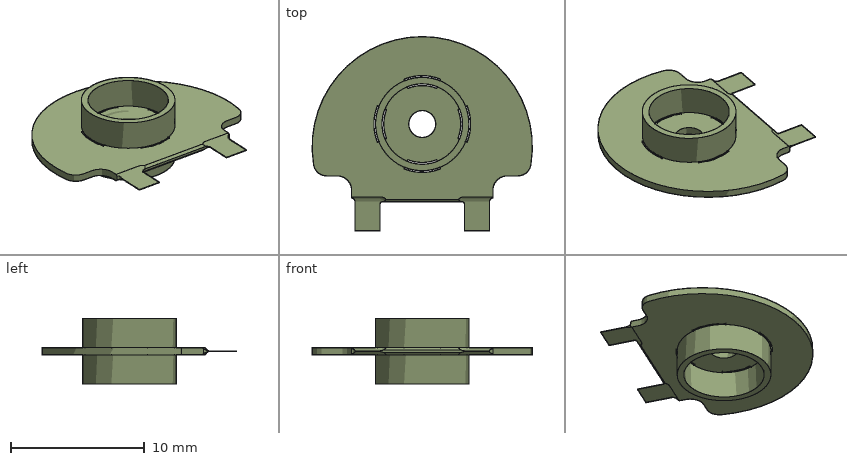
import cadquery as cq
import math

PLATE_RADIUS = 8.24
PLATE_CENTER_Y = -1.7
PLATE_THICKNESS = 0.55
SHOULDER_Y = -3.89
SHOULDER_FILLET = 1.0
NECK_FILLET = 1.05
NECK_HALF_WIDTH = 5.29
NECK_CORNER_Y = -5.53
NECK_EDGE_Y = -5.81
EDGE_CHAMFER = 0.18

TAB_INNER_X = 3.15
TAB_OUTER_X = 5.04
TAB_TIP_Y = -7.99
TAB_THICKNESS = 0.05
TAB_OUTER_FILLET = NECK_HALF_WIDTH - TAB_OUTER_X
TAB_INNER_FILLET = 0.18
RAMP_TOP_Y = -5.44
RAMP_LENGTH = 0.58

BOSS_TOP_RADIUS = 2.01
BOSS_BASE_RADIUS = 2.3
BOSS_HEIGHT = 0.025
HOLE_DIAMETER = 2.0
WINDOW_INNER_RADIUS = 2.88
WINDOW_OUTER_RADIUS = 3.6
WINDOW_ANGLE = 44.0
WINDOW_COUNT = 4

RING_OUTER_DIAMETER = 7.0
RING_INNER_DIAMETER = 6.0
TOTAL_HEIGHT = 4.9

CUT_MARGIN = 0.16

HALF_PLATE = PLATE_THICKNESS / 2
HALF_TAB = TAB_THICKNESS / 2
RAMP_END_Y = RAMP_TOP_Y - RAMP_LENGTH
RING_HEIGHT = TOTAL_HEIGHT / 2 - HALF_PLATE


def make_blank():
    """Full-thickness plate: a truncated disc, a neck and two tabs, with rounded corners."""
    shoulder_x = math.sqrt(PLATE_RADIUS**2 - (SHOULDER_Y - PLATE_CENTER_Y) ** 2)
    outer_fillet_end_y = NECK_CORNER_Y - TAB_OUTER_FILLET
    outer_fillet_mid = TAB_OUTER_FILLET * math.sqrt(0.5)
    blank = (
        cq.Workplane("XY", origin=(0, 0, -HALF_PLATE))
        .moveTo(-shoulder_x, SHOULDER_Y)
        .threePointArc((0, PLATE_CENTER_Y + PLATE_RADIUS), (shoulder_x, SHOULDER_Y))
        .lineTo(NECK_HALF_WIDTH, SHOULDER_Y)
        .lineTo(NECK_HALF_WIDTH, NECK_CORNER_Y)
        .threePointArc(
            (NECK_HALF_WIDTH - outer_fillet_mid, outer_fillet_end_y + outer_fillet_mid),
            (TAB_OUTER_X, outer_fillet_end_y),
        )
        .lineTo(TAB_OUTER_X, TAB_TIP_Y)
        .lineTo(TAB_INNER_X, TAB_TIP_Y)
        .lineTo(TAB_INNER_X, NECK_EDGE_Y)
        .lineTo(-TAB_INNER_X, NECK_EDGE_Y)
        .lineTo(-TAB_INNER_X, TAB_TIP_Y)
        .lineTo(-TAB_OUTER_X, TAB_TIP_Y)
        .lineTo(-TAB_OUTER_X, outer_fillet_end_y)
        .threePointArc(
            (-NECK_HALF_WIDTH + outer_fillet_mid, outer_fillet_end_y + outer_fillet_mid),
            (-NECK_HALF_WIDTH, NECK_CORNER_Y),
        )
        .lineTo(-NECK_HALF_WIDTH, SHOULDER_Y)
        .close()
        .extrude(PLATE_THICKNESS)
    )
    rounded_corners = [
        (shoulder_x, SHOULDER_Y, SHOULDER_FILLET),
        (NECK_HALF_WIDTH, SHOULDER_Y, NECK_FILLET),
        (TAB_INNER_X, NECK_EDGE_Y, TAB_INNER_FILLET),
    ]
    for x, y, radius in rounded_corners:
        for side in (-1, 1):
            corner = cq.selectors.NearestToPointSelector((side * x, y, 0))
            blank = blank.edges("|Z").edges(corner).fillet(radius)
    return blank


def ramp_arc_middle():
    """Middle of the ramp arc as (distance from the ramp foot, height above mid-plane)."""
    rise = HALF_PLATE - HALF_TAB
    radius = (RAMP_LENGTH**2 + rise**2) / (2 * rise)
    half_angle = math.asin(RAMP_LENGTH / radius) / 2
    return radius * math.sin(half_angle), HALF_TAB + radius * (1 - math.cos(half_angle))


def make_tab_cutter():
    """Material above the +X tab: a curved ramp that turns round the tab's inner corner."""
    mid_distance, mid_height = ramp_arc_middle()
    cutter_top_z = HALF_PLATE + CUT_MARGIN
    ramp = (
        cq.Workplane("YZ", origin=(TAB_INNER_X, 0, 0))
        .moveTo(TAB_TIP_Y - CUT_MARGIN, HALF_TAB)
        .lineTo(RAMP_END_Y, HALF_TAB)
        .threePointArc((RAMP_END_Y + mid_distance, mid_height), (RAMP_TOP_Y, HALF_PLATE))
        .lineTo(RAMP_TOP_Y, cutter_top_z)
        .lineTo(TAB_TIP_Y - CUT_MARGIN, cutter_top_z)
        .close()
        .extrude(NECK_HALF_WIDTH - TAB_INNER_X + CUT_MARGIN)
    )
    turn = (
        cq.Workplane("XZ", origin=(TAB_INNER_X, RAMP_END_Y, 0))
        .moveTo(0, HALF_TAB)
        .threePointArc((mid_distance, mid_height), (RAMP_LENGTH, HALF_PLATE))
        .lineTo(RAMP_LENGTH, cutter_top_z)
        .lineTo(0, cutter_top_z)
        .close()
        .revolve(90, (0, 0, 0), (0, 1, 0))
        .rotate((TAB_INNER_X, RAMP_END_Y, 0), (TAB_INNER_X, RAMP_END_Y, 1), 90)
    )
    return ramp.union(turn)


def make_edge_cutter():
    """Chamfer on the upper neck edge between the tabs."""
    return (
        cq.Workplane("YZ", origin=(-TAB_INNER_X, 0, 0))
        .moveTo(NECK_EDGE_Y + EDGE_CHAMFER, HALF_PLATE)
        .lineTo(NECK_EDGE_Y, HALF_PLATE)
        .lineTo(NECK_EDGE_Y, HALF_PLATE - EDGE_CHAMFER)
        .close()
        .extrude(2 * TAB_INNER_X)
    )


def make_center_boss():
    """Shallow conical rise around the centre hole, on both faces of the plate."""
    boss_z = HALF_PLATE + BOSS_HEIGHT
    return (
        cq.Workplane("XZ")
        .moveTo(0, -boss_z)
        .lineTo(BOSS_TOP_RADIUS, -boss_z)
        .lineTo(BOSS_BASE_RADIUS, -HALF_PLATE)
        .lineTo(BOSS_BASE_RADIUS, HALF_PLATE)
        .lineTo(BOSS_TOP_RADIUS, boss_z)
        .lineTo(0, boss_z)
        .close()
        .revolve(360, (0, 0, 0), (0, 1, 0))
    )


def make_window():
    """Ring segment centred on the +X axis, through the plate."""
    section_width = WINDOW_OUTER_RADIUS - WINDOW_INNER_RADIUS
    section_center = (WINDOW_OUTER_RADIUS + WINDOW_INNER_RADIUS) / 2
    return (
        cq.Workplane("XZ")
        .center(section_center, 0)
        .rect(section_width, PLATE_THICKNESS)
        .revolve(WINDOW_ANGLE, (-section_center, 0, 0), (-section_center, 1, 0))
        .rotate((0, 0, 0), (0, 0, 1), -WINDOW_ANGLE / 2)
    )


def make_plate():
    plate = make_blank()

    tab_cutter = make_tab_cutter()
    for cutter in (tab_cutter, tab_cutter.mirror("YZ"), make_edge_cutter()):
        plate = plate.cut(cutter).cut(cutter.mirror("XY"))

    window = make_window()
    for index in range(WINDOW_COUNT):
        plate = plate.cut(window.rotate((0, 0, 0), (0, 0, 1), index * 360 / WINDOW_COUNT))

    center_hole = cq.Workplane("XY").circle(HOLE_DIAMETER / 2).extrude(TOTAL_HEIGHT / 2, both=True)
    return plate.union(make_center_boss()).cut(center_hole)


def make_ring(base_z):
    return (
        cq.Workplane("XY", origin=(0, 0, base_z))
        .circle(RING_OUTER_DIAMETER / 2)
        .circle(RING_INNER_DIAMETER / 2)
        .extrude(RING_HEIGHT)
    )


plate = make_plate()
rings = [make_ring(base_z) for base_z in (HALF_PLATE, -TOTAL_HEIGHT / 2)]

result = cq.Compound.makeCompound([plate.val(), *[ring.val() for ring in rings]])